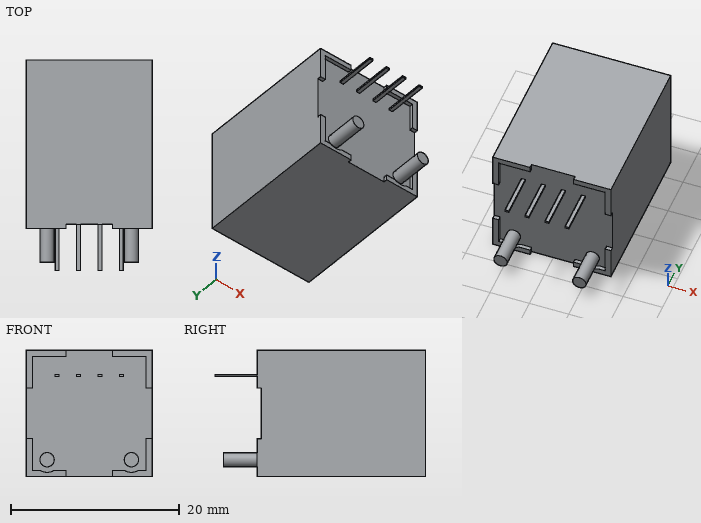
import cadquery as cq

side = 15.0
housing_length = 20.0
rim_height = 0.5
rim_thickness = 0.75
rim_gap_x = 5.5
rim_gap_z = 6.0

pin_count = 4
pin_pitch = 2.54
pin_width = 0.5
pin_thickness = 0.25
pin_z = 4.5
pin_reach = 5.0

post_diameter = 1.7
post_spacing = 10.0
post_z = -5.5
post_reach = 4.0
relief_radius = 1.5
relief_blend_radius = 0.5

selection_margin = 0.01

rim_y = 0.0
floor_y = rim_y + rim_height
back_y = rim_y + housing_length


def box_between(width, height, y_start, y_end, x=0.0, z=0.0):
    """Box centred on (x, z), running from y_start to y_end."""
    length = y_end - y_start
    return cq.Workplane("XY").box(width, length, height).translate((x, y_start + length / 2, z))


def cylinder_between(radius, y_start, y_end, x, z):
    """Cylinder along Y, centred on (x, z), running from y_start to y_end."""
    axis_start = cq.Vector(x, y_start, z)
    cylinder = cq.Solid.makeCylinder(radius, y_end - y_start, axis_start, cq.Vector(0, 1, 0))
    return cq.Workplane(obj=cylinder)


def post_positions():
    return [-post_spacing / 2, post_spacing / 2]


def edge_selector_below_post(x, wall_z):
    """Selects the edges where the relief centred at x meets the wall at wall_z."""
    low_corner = (x - relief_radius, rim_y - selection_margin, wall_z - selection_margin)
    high_corner = (x + relief_radius, floor_y + selection_margin, wall_z + selection_margin)
    return cq.selectors.BoxSelector(low_corner, high_corner)


def make_rim_recess():
    """Space inside the rim, bulging round each post with blended corners."""
    inner_side = side - 2 * rim_thickness
    recess = box_between(inner_side, inner_side, rim_y, floor_y)
    for x in post_positions():
        recess = recess.union(cylinder_between(relief_radius, rim_y, floor_y, x, post_z))
    for x in post_positions():
        meeting_edges = recess.edges(edge_selector_below_post(x, -inner_side / 2)).edges("|Y")
        recess = meeting_edges.fillet(relief_blend_radius)
    return recess


def make_housing():
    housing = box_between(side, side, rim_y, back_y)
    gap_in_x = box_between(rim_gap_x, side, rim_y, floor_y)
    gap_in_z = box_between(side, rim_gap_z, rim_y, floor_y)
    return housing.cut(make_rim_recess()).cut(gap_in_x).cut(gap_in_z)


def add_pins(body):
    first_x = -pin_pitch * (pin_count - 1) / 2
    for index in range(pin_count):
        x = first_x + index * pin_pitch
        body = body.union(box_between(pin_width, pin_thickness, rim_y - pin_reach, floor_y, x, pin_z))
    return body


def add_posts(body):
    for x in post_positions():
        body = body.union(cylinder_between(post_diameter / 2, rim_y - post_reach, floor_y, x, post_z))
    return body


result = add_posts(add_pins(make_housing()))